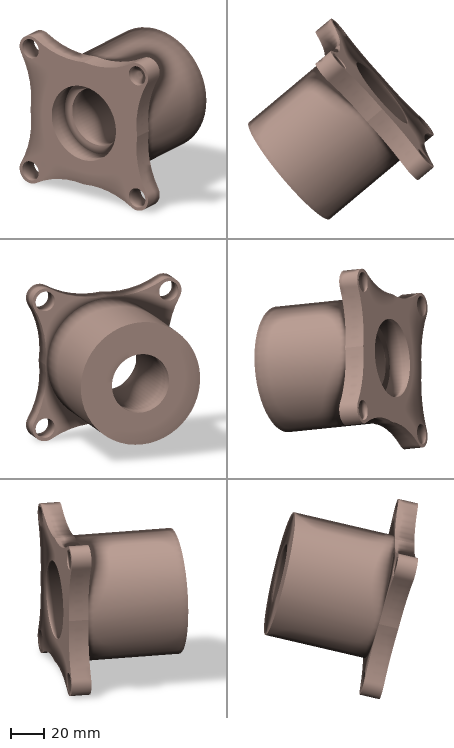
import cadquery as cq
import math

flange_width = 94.1
total_length = 73.3
flange_thickness = 12.0

lug_radius = 8.0
bolt_hole_diameter = 12.0
lug_offset = flange_width / 2 - lug_radius

lug_tangent_angle = math.radians(30)
mid_side_offset = lug_offset

barrel_diameter = 75.35
bore_diameter = 36.0
counterbore_diameter = 47.0
counterbore_depth = 13.45


def turned(point, quarter_turns):
    """Rotate a point about the part's axis by whole quarter turns."""
    x, z = point
    for _ in range(quarter_turns):
        x, z = z, -x
    return x, z


def flange_outline():
    """Four concave sides joined by round lugs, in the XZ plane."""
    tangent_sin = math.sin(lug_tangent_angle)
    tangent_cos = math.cos(lug_tangent_angle)
    tangent_x = lug_offset - lug_radius * tangent_sin
    tangent_z = lug_offset + lug_radius * tangent_cos
    lug_tip = lug_offset + lug_radius * math.sqrt(0.5)

    rise = tangent_z - mid_side_offset
    chord_squared = tangent_x**2 + rise**2
    side_radius = chord_squared / (2 * (tangent_x * tangent_sin - rise * tangent_cos))

    outline = cq.Workplane("XZ").moveTo(0, mid_side_offset)
    for quarter in range(4):
        side_end = turned((tangent_x, tangent_z), quarter)
        lug_middle = turned((lug_tip, lug_tip), quarter)
        lug_end = turned((tangent_z, tangent_x), quarter)
        next_middle = turned((0, mid_side_offset), quarter + 1)
        outline = (
            outline.radiusArc(side_end, -side_radius)
            .threePointArc(lug_middle, lug_end)
            .radiusArc(next_middle, -side_radius)
        )
    return outline.close()


def disc(diameter, length):
    """Cylinder on the part's axis, from the flange face toward +Y."""
    return cq.Workplane("XZ").circle(diameter / 2).extrude(-length)


flange = flange_outline().extrude(-flange_thickness)
bolt_holes = (
    cq.Workplane("XZ")
    .rect(2 * lug_offset, 2 * lug_offset, forConstruction=True)
    .vertices()
    .circle(bolt_hole_diameter / 2)
    .extrude(-flange_thickness)
)

result = (
    flange.union(disc(barrel_diameter, total_length))
    .cut(bolt_holes)
    .cut(disc(bore_diameter, total_length))
    .cut(disc(counterbore_diameter, counterbore_depth))
)